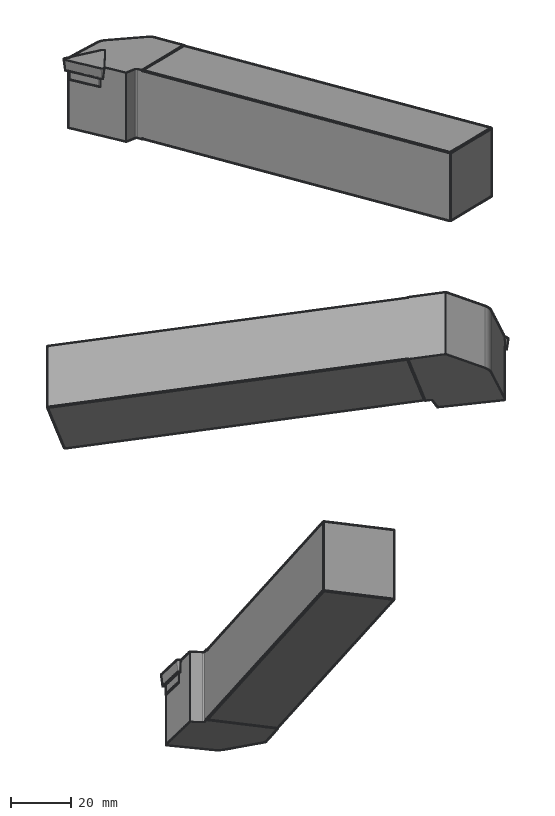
import cadquery as cq
import math

overall_length = 149.5
shank_size = 25.0
shank_edge_chamfer = 0.3

head_end_x = 26.8
back_corner_x = 13.9
shoulder_corner_x = 23.6
shoulder_corner_y = -4.6
shoulder_root_x = 24.5
side_corner_y = 12.9
nose_corner_y = -5.7
side_corner_radius = 5.0
nose_corner_radius = 0.7
shoulder_root_radius = 0.6

lead_angle = 3.0
insert_side = 16.6
insert_thickness = 4.0
insert_corner_radius = 0.7
insert_clearance_angle = 7.0
insert_apex = (7.0, 7.6)

pad_inset = 1.0
pad_thickness = 3.3
pad_corner_radius = 0.6


def triangle_points(inset):
    """Corners of the insert triangle with every side moved inward by inset."""
    circumradius = insert_side / math.sqrt(3)
    apex_angle = math.radians(90 + lead_angle)
    center_x = insert_apex[0] - circumradius * math.cos(apex_angle)
    center_y = insert_apex[1] - circumradius * math.sin(apex_angle)
    radius = circumradius - 2 * inset
    points = []
    for corner in range(3):
        angle = apex_angle + corner * math.radians(120)
        points.append((center_x + radius * math.cos(angle), center_y + radius * math.sin(angle)))
    return points


def make_insert():
    """Triangular insert whose flanks and rounded corners taper toward its underside."""
    outline = (
        cq.Sketch()
        .polygon(triangle_points(0) + triangle_points(0)[:1])
        .vertices().fillet(insert_corner_radius)
    )
    return (
        cq.Workplane("XY").workplane(offset=shank_size)
        .placeSketch(outline)
        .extrude(-insert_thickness, taper=insert_clearance_angle)
    )


def make_head():
    """Bevelled head block, with end and front faces turned by the lead angle."""
    lead_slope = math.tan(math.radians(lead_angle))
    side_corner_x = back_corner_x - (shank_size - side_corner_y)
    nose_corner_x = side_corner_x - (side_corner_y - nose_corner_y) * lead_slope
    head = (
        cq.Workplane("XY")
        .polyline([
            (head_end_x, shank_size),
            (back_corner_x, shank_size),
            (side_corner_x, side_corner_y),
            (nose_corner_x, nose_corner_y),
            (shoulder_corner_x, shoulder_corner_y),
            (shoulder_root_x, 0),
            (head_end_x, 0),
        ]).close()
        .extrude(shank_size)
    )
    half_height = shank_size / 2
    head = rounded_edge(head, (side_corner_x, side_corner_y, half_height), side_corner_radius)
    head = rounded_edge(head, (nose_corner_x, nose_corner_y, half_height), nose_corner_radius)
    return rounded_edge(head, (shoulder_root_x, 0, half_height), shoulder_root_radius)


def rounded_edge(body, point, radius):
    """Fillet the vertical edge that passes nearest to point."""
    return body.edges("|Z").edges(cq.NearestToPointSelector(point)).fillet(radius)


def make_shank():
    """Square shank with broken edges, left sharp where its sides join the head."""
    shank = cq.Workplane("XY").box(
        overall_length - head_end_x, shank_size, shank_size, centered=False
    ).translate((head_end_x, 0, 0))
    shank = shank.edges("|Z and >X").chamfer(shank_edge_chamfer)
    return shank.faces(">Z or <Z").edges().chamfer(shank_edge_chamfer)


def make_seat_pad():
    """Seat pad that stands slightly proud of the front of the head."""
    return (
        cq.Workplane("XY").workplane(offset=shank_size - insert_thickness)
        .polyline(triangle_points(pad_inset)).close()
        .extrude(-pad_thickness)
        .edges("|Z").fillet(pad_corner_radius)
    )


insert = make_insert()
holder = make_head().union(make_shank()).union(make_seat_pad()).cut(insert)

result = cq.Compound.makeCompound([holder.val(), insert.val()])